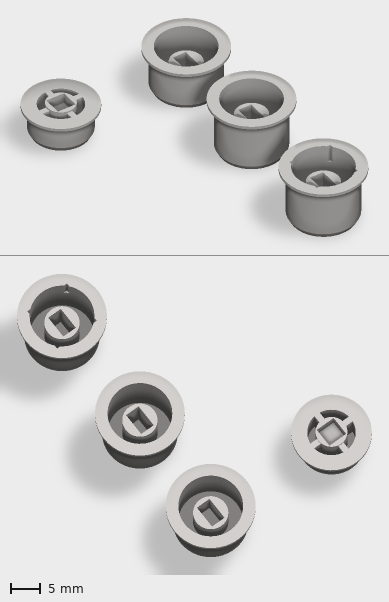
import cadquery as cq

FLANGE_THICKNESS = 0.6
BASE_CHAMFER_HEIGHT = 1.0
BASE_CHAMFER_INSET = 0.5
FLOOR_THICKNESS = 1.0

CUP_FLANGE_DIAMETER = 15.2
CUP_BODY_DIAMETER = 12.8
CUP_BORE_DIAMETER = 11.0
POST_DIAMETER = 6.0
POST_DROP = 3.3
SOCKET_LENGTH = 4.25
SOCKET_WIDTH = 2.65
SHORT_CUP_HEIGHT = 8.6
TALL_CUP_HEIGHT = 10.6

NOTCH_RECESS_SIDE = 8.4
NOTCH_DEPTH = POST_DROP

PLUG_FLANGE_DIAMETER = 13.7
PLUG_BODY_DIAMETER = 11.5
PLUG_HEIGHT = 6.0
PLUG_BORE_DIAMETER = 8.2
HUB_DIAMETER = 5.4
HUB_RISE = 0.3
HUB_SOCKET_SIDE = 3.55
HUB_SOCKET_DEPTH = 2.0
RIB_WIDTH = 1.1

OVERALL_LENGTH = 57.45
PLAIN_CUP_X = 20.0
TALL_CUP_SPACING = 22.0
NOTCHED_CUP_X = PLAIN_CUP_X + TALL_CUP_SPACING
PLUG_X = NOTCHED_CUP_X + (CUP_FLANGE_DIAMETER + PLUG_FLANGE_DIAMETER) / 2 - OVERALL_LENGTH
PLUG_Y = -24.8
PLUG_LIFT = 0.5


def cylinder(diameter, bottom, top):
    """Upright cylinder on the Z axis between two heights."""
    return cq.Workplane("XY").workplane(offset=bottom).circle(diameter / 2).extrude(top - bottom)


def block(length, width, bottom, top):
    """Upright rectangular block centred on the Z axis between two heights."""
    return cq.Workplane("XY").workplane(offset=bottom).rect(length, width).extrude(top - bottom)


def flanged_blank(flange_diameter, body_diameter, height):
    """Solid round body with a tapered base edge and a thin flange at the top."""
    flange_radius = flange_diameter / 2
    body_radius = body_diameter / 2
    flange_bottom = height - FLANGE_THICKNESS
    half_profile = [
        (0, 0),
        (body_radius - BASE_CHAMFER_INSET, 0),
        (body_radius, BASE_CHAMFER_HEIGHT),
        (body_radius, flange_bottom),
        (flange_radius, flange_bottom),
        (flange_radius, height),
        (0, height),
    ]
    return cq.Workplane("XZ").polyline(half_profile).close().revolve(360, (0, 0), (0, 1))


def make_cup(height):
    """Flanged cup with a central post and a rectangular socket in the post."""
    post_top = height - POST_DROP
    bore = cylinder(CUP_BORE_DIAMETER, FLOOR_THICKNESS, height)
    post = cylinder(POST_DIAMETER, FLOOR_THICKNESS, post_top)
    socket = block(SOCKET_LENGTH, SOCKET_WIDTH, FLOOR_THICKNESS, post_top)
    blank = flanged_blank(CUP_FLANGE_DIAMETER, CUP_BODY_DIAMETER, height)
    return blank.cut(bore.cut(post)).cut(socket)


def make_notched_cup(height):
    """Cup whose bore wall carries four corner notches running down from the rim."""
    recess = block(NOTCH_RECESS_SIDE, NOTCH_RECESS_SIDE, height - NOTCH_DEPTH, height)
    return make_cup(height).cut(recess)


def make_plug():
    """Low flanged plug with a raised hub, four ribs and four arc pockets."""
    hub_top = PLUG_HEIGHT + HUB_RISE
    pockets = cylinder(PLUG_BORE_DIAMETER, FLOOR_THICKNESS, PLUG_HEIGHT)
    pockets = pockets.cut(block(PLUG_BORE_DIAMETER, RIB_WIDTH, FLOOR_THICKNESS, PLUG_HEIGHT))
    pockets = pockets.cut(block(RIB_WIDTH, PLUG_BORE_DIAMETER, FLOOR_THICKNESS, PLUG_HEIGHT))
    hub = cylinder(HUB_DIAMETER, FLOOR_THICKNESS, hub_top)
    socket = block(HUB_SOCKET_SIDE, HUB_SOCKET_SIDE, hub_top - HUB_SOCKET_DEPTH, hub_top)
    blank = flanged_blank(PLUG_FLANGE_DIAMETER, PLUG_BODY_DIAMETER, PLUG_HEIGHT)
    return blank.cut(pockets).union(hub).cut(socket)


short_cup = make_cup(SHORT_CUP_HEIGHT)
plain_cup = make_cup(TALL_CUP_HEIGHT).translate((PLAIN_CUP_X, 0, 0))
notched_cup = make_notched_cup(TALL_CUP_HEIGHT).translate((NOTCHED_CUP_X, 0, 0))
plug = make_plug().translate((PLUG_X, PLUG_Y, PLUG_LIFT))

result = cq.Compound.makeCompound([short_cup.val(), plain_cup.val(), notched_cup.val(), plug.val()])